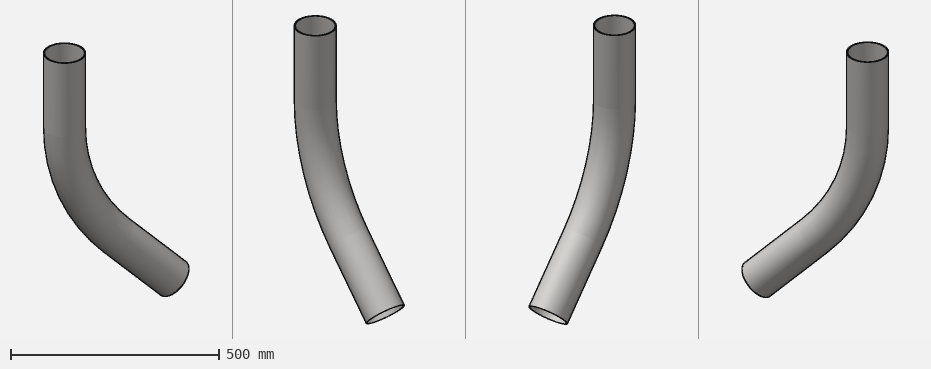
import cadquery as cq
import math

outer_diameter = 101.6
inner_diameter = 95.5

leg_length = 2 * outer_diameter
bend_radius = 4.5 * outer_diameter
bend_angle = 45.0


def bend_point(angle_degrees):
    """Centreline (Y, Z) point at an angle into the bend, which starts at the origin heading down."""
    angle = math.radians(angle_degrees)
    return (bend_radius * (1 - math.cos(angle)), -bend_radius * math.sin(angle))


def centreline():
    """Path in the YZ plane from the top of the vertical leg to the lower open end."""
    bend_end_y, bend_end_z = bend_point(bend_angle)
    end_angle = math.radians(bend_angle)
    lower_end = (
        bend_end_y + leg_length * math.sin(end_angle),
        bend_end_z - leg_length * math.cos(end_angle),
    )
    return (
        cq.Workplane("YZ")
        .moveTo(0, leg_length)
        .lineTo(0, 0)
        .threePointArc(bend_point(bend_angle / 2), (bend_end_y, bend_end_z))
        .lineTo(*lower_end)
    )


def bent_pipe():
    """Ring section at the top of the vertical leg, swept along the centreline."""
    return (
        cq.Workplane("XY", origin=(0, 0, leg_length))
        .circle(outer_diameter / 2)
        .circle(inner_diameter / 2)
        .sweep(centreline())
    )


result = bent_pipe()